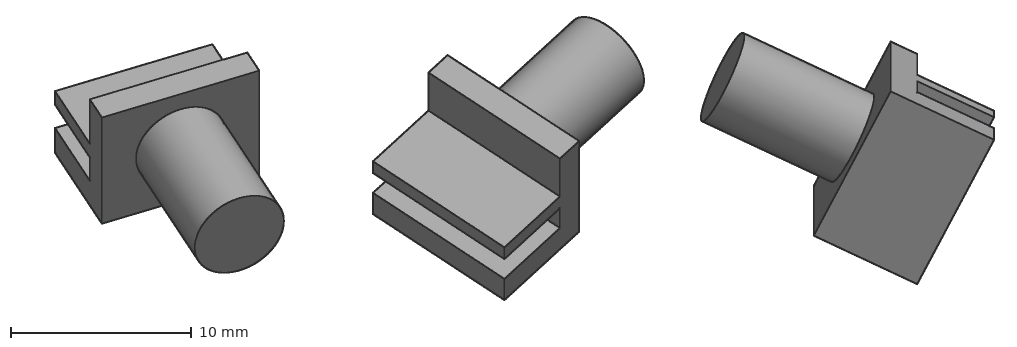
import cadquery as cq

overall_length = 14.4
bracket_depth = 6.4
bracket_width = 9.52
bracket_height = 7.92
plate_thickness = 1.64
base_arm_thickness = 1.86
slot_height = 1.73
upper_arm_thickness = 1.02

stem_diameter = 5.4
stem_axis_height = 4.09
stem_length = overall_length - bracket_depth

plate_front = bracket_depth - plate_thickness
slot_top = base_arm_thickness + slot_height
upper_arm_top = slot_top + upper_arm_thickness


def make_bracket():
    """Side profile extruded symmetrically across the width."""
    outline = [
        (0, 0),
        (bracket_depth, 0),
        (bracket_depth, bracket_height),
        (plate_front, bracket_height),
        (plate_front, upper_arm_top),
        (0, upper_arm_top),
        (0, slot_top),
        (plate_front, slot_top),
        (plate_front, base_arm_thickness),
        (0, base_arm_thickness),
    ]
    return cq.Workplane("XZ").polyline(outline).close().extrude(bracket_width / 2, both=True)


def make_stem():
    """Plain cylinder butting against the back face of the plate."""
    return (
        cq.Workplane("YZ", origin=(bracket_depth, 0, stem_axis_height))
        .circle(stem_diameter / 2)
        .extrude(stem_length)
    )


bracket = make_bracket()
stem = make_stem()

result = cq.Compound.makeCompound([bracket.val(), stem.val()])